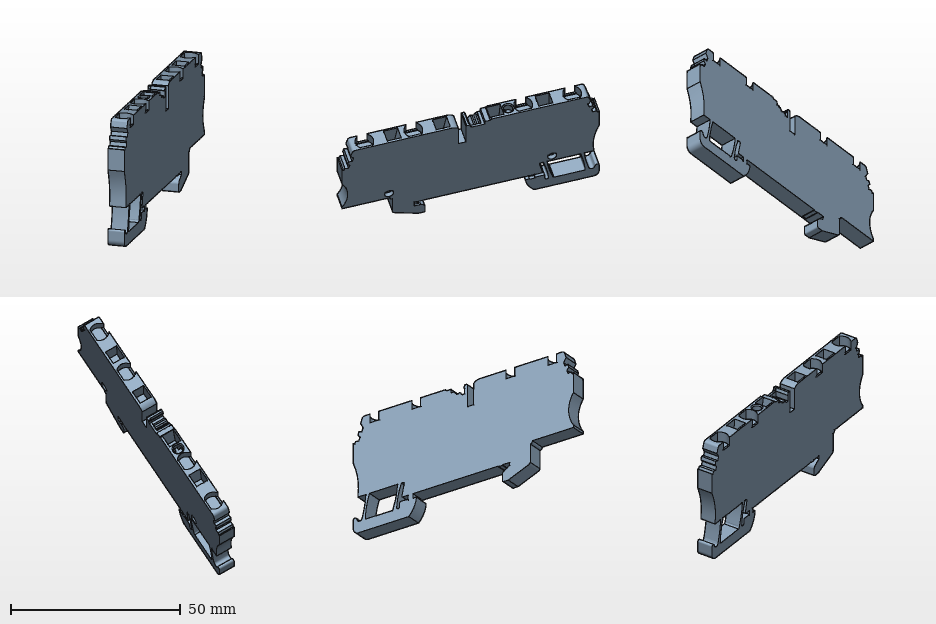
import cadquery as cq
import math

THICKNESS = 5.11
LENGTH = 79.05
HEIGHT = 38.35
HALF_LENGTH = LENGTH / 2
MID_X = THICKNESS / 2

SHOULDER_Z = 30.3
GRIP_TOP_Z = 23.6
UNDERSIDE_Z = 11.96
RAIL_Z = 7.17
FOOT_FLOOR_Z = 3.8
POST_TOP_Z = 37.9
FOOT_TOP_Z = 5.9

END_FACE = 77.4

SKIN = 0.6

TOP_EDGE_OFFSET = 4.1
TOP_CORNER_MIDDLE = (3.44, 38.1)
DRIVER_HOLE_OFFSETS = (7.6, 22.65)
DRIVER_RADIUS = 2.75
DRIVER_WIDTH = 3.95
DRIVER_DEPTH = 3.3
DRIVER_WINDOW = 3.0
DRIVER_SILL = 0.4
WIRE_X0 = 0.75
WIRE_X1 = 4.6
WIRE_DEPTH = 6.0
WIRE_LENGTH = 4.3
WIRE_HOLES = (
    (14.1, 0.15, 1.0),
    (29.15, 0, 1.1),
    (45.65, 1.15, 0.45),
    (60.7, 0.75, 0),
)

SLOT_CORNER_START = 33.7
SLOT_CORNER_Z = 37.4
POST_CHAMFER_WIDTH = 0.3
POST_CHAMFER_HEIGHT = 0.2
STEP_END = 45.5
STEP_RAMP = 0.5
SLOT_START = 35.8
SLOT_END = 38.06
RECESS_START = 39.4
RECESS_END = 44.0
RECESS_FLOOR_Z = 36.7
RECESS_CHAMFER = 0.4
RECESS_SIDE_LEAN = 0.15
GROOVE_X0 = 0.75
GROOVE_START = 39.0
GROOVE_WALL = 39.15
GROOVE_FLOOR_Z = 34.9
GROOVE_VALLEY_Z = 35.6

SCREW_DISTANCE = 51.75
SCREW_MOUTH_RADIUS = 1.75
SCREW_FLOOR_RADIUS = 1.4
SCREW_DEPTH = 2.5
SCREW_SINK = 0.35
SCREW_PAD_GAP = 0.5
SCREW_PAD_HEIGHT = 0.5

PEG_HOLE_DISTANCE = 14.45
PEG_HOLE_Z = 14.05
PEG_HOLE_RADIUS = 1.37
PEG_HOLE_DEPTH = 1.5

HOOK_FACE = 15.5
HOOK_TIP = 25.55
HOOK_BACK = 22.85
HOOK_SKIN_BACK = 22.2
HOOK_FLOOR_Z = 5.4
HOOK_BOTTOM_Z = 1.43

FOOT_START = 56.4
FOOT_CORNER_RADIUS = 1.9
FOOT_SLOT_SIDE = 62.35
FOOT_SLOT_END = 63.45
FOOT_SLOT_ROUND_Z = 4.4
SLOT_LEG_HEEL = (64.7, 4.5)
END_LEG_HEEL = (74.7, 4.2)
END_LEG_TOE = (75.8, 4.7)
PIN_START = 57.6
PIN_END = 59.3
PIN_FLOOR_Z = 5.5
PIN_X0 = 1.0
RAIL_PAD_START = 25.5
RAIL_PAD_END = 27.0
RAIL_PAD_DROP = 0.2


def at(distance, z):
    """Point in the YZ plane, given as a distance from the +Y end and a height."""
    return (HALF_LENGTH - distance, z)


def points(*pairs):
    return [at(distance, z) for distance, z in pairs]


def profile(start):
    return cq.Workplane("YZ").moveTo(*at(*start))


def prism(x0, x1, pairs):
    """Straight-sided outline in the YZ plane, filled from x0 to x1."""
    return cq.Workplane("YZ", origin=(x0, 0, 0)).polyline(points(*pairs)).close().extrude(x1 - x0)


def block(x0, x1, start, end, z0, z1):
    return prism(x0, x1, [(start, z0), (end, z0), (end, z1), (start, z1)])


def comb():
    """Ratchet teeth of one end, from the shoulder up to the rounded top corner, as (distance from end, z)."""
    return [
        (0.0, SHOULDER_Z), (0.45, 30.0), (0.9, 30.75), (1.97, 30.6),
        (2.39, 31.75), (1.67, 32.55), (2.0, 33.65), (3.07, 33.4),
        (3.52, 34.55), (2.63, 36.1), (3.1, 37.5),
    ]


def housing():
    far_comb = [(LENGTH - offset, z) for offset, z in reversed(comb())]
    corner_offset, corner_z = TOP_CORNER_MIDDLE
    outline = (
        profile((0, SHOULDER_Z))
        .polyline(points(*comb()), includeCurrent=False)
        .threePointArc(at(corner_offset, corner_z), at(TOP_EDGE_OFFSET, HEIGHT))
        .lineTo(*at(SLOT_CORNER_START, HEIGHT))
        .threePointArc(at(34.85, 38.08), at(SLOT_START, SLOT_CORNER_Z))
        .lineTo(*at(SLOT_START, SHOULDER_Z))
        .lineTo(*at(SLOT_END, SHOULDER_Z))
        .lineTo(*at(SLOT_END, POST_TOP_Z - POST_CHAMFER_HEIGHT))
        .lineTo(*at(SLOT_END + POST_CHAMFER_WIDTH, POST_TOP_Z))
        .lineTo(*at(RECESS_START, POST_TOP_Z))
        .lineTo(*at(RECESS_START, RECESS_FLOOR_Z + RECESS_CHAMFER))
        .lineTo(*at(RECESS_START + RECESS_CHAMFER, RECESS_FLOOR_Z))
        .lineTo(*at(RECESS_END - RECESS_SIDE_LEAN, RECESS_FLOOR_Z))
        .lineTo(*at(RECESS_END, POST_TOP_Z))
        .lineTo(*at(STEP_END, POST_TOP_Z))
        .lineTo(*at(STEP_END + STEP_RAMP, HEIGHT))
        .lineTo(*at(LENGTH - TOP_EDGE_OFFSET, HEIGHT))
        .threePointArc(at(LENGTH - corner_offset, corner_z), at(*far_comb[0]))
        .polyline(points(*far_comb[1:]), includeCurrent=True)
        .lineTo(*at(LENGTH, GRIP_TOP_Z))
        .threePointArc(at(77.22, 15.5), at(END_FACE, 12.4))
        .lineTo(*at(END_FACE, UNDERSIDE_Z))
        .lineTo(*at(61.1, UNDERSIDE_Z))
        .threePointArc(at(60.85, 11.8), at(60.75, 11.4))
        .lineTo(*at(61.55, 7.6))
        .threePointArc(at(61.5, 7.3), at(61.2, RAIL_Z))
        .lineTo(*at(HOOK_BACK, RAIL_Z))
        .lineTo(*at(HOOK_BACK + 0.15, 6.2))
        .lineTo(*at(24.4, 5.3))
        .threePointArc(at(25.2, 4.75), at(HOOK_TIP, 4.05))
        .lineTo(*at(HOOK_TIP, 2.0))
        .threePointArc(at(25.45, 1.65), at(25.1, HOOK_BOTTOM_Z))
        .lineTo(*at(23.4, HOOK_BOTTOM_Z))
        .lineTo(*at(16.1, 4.35))
        .threePointArc(at(15.7, 4.65), at(HOOK_FACE, 5.0))
        .lineTo(*at(HOOK_FACE, 11.1))
        .threePointArc(at(15.0, 11.3), at(14.7, UNDERSIDE_Z))
        .lineTo(*at(0, UNDERSIDE_Z))
        .lineTo(*at(0, 12.8))
        .threePointArc(at(1.73, 18.4), at(0, GRIP_TOP_Z))
        .close()
    )
    return outline.extrude(THICKNESS)


def foot():
    """Sliding foot under the -Y end."""
    outline = (
        profile((FOOT_START, 5.65))
        .lineTo(*at(PIN_START, 5.7))
        .lineTo(*at(PIN_START, PIN_FLOOR_Z))
        .lineTo(*at(PIN_END, PIN_FLOOR_Z))
        .lineTo(*at(PIN_END + 0.1, FOOT_TOP_Z))
        .lineTo(*at(61.9, FOOT_TOP_Z))
        .threePointArc(at(62.2, 5.8), at(FOOT_SLOT_SIDE, 5.5))
        .lineTo(*at(FOOT_SLOT_SIDE, FOOT_SLOT_ROUND_Z))
        .threePointArc(at(62.9, FOOT_FLOOR_Z), at(FOOT_SLOT_END, FOOT_SLOT_ROUND_Z))
        .lineTo(*at(*SLOT_LEG_HEEL))
        .threePointArc(at(64.82, 4.05), at(65.15, FOOT_FLOOR_Z))
        .lineTo(*at(74.3, FOOT_FLOOR_Z))
        .threePointArc(at(74.6, 3.9), at(*END_LEG_HEEL))
        .lineTo(*at(*END_LEG_TOE))
        .lineTo(*at(76.05, 4.15))
        .threePointArc(at(76.7, 3.75), at(77.55, 4.25))
        .lineTo(*at(77.8, 4.8))
        .threePointArc(at(78.4, 5.3), at(LENGTH, 4.7))
        .lineTo(*at(LENGTH, FOOT_CORNER_RADIUS))
        .radiusArc(at(LENGTH - FOOT_CORNER_RADIUS, 0), -FOOT_CORNER_RADIUS)
        .lineTo(*at(59.1, 0))
        .threePointArc(at(57.4, 2.2), at(FOOT_START, 5.2))
        .close()
    )
    return outline.extrude(THICKNESS)


def leg(inner_edge, outer_edge):
    """Curved spring leg between two edges, each given top, middle and bottom."""
    overlap = 0.5
    inner_top, inner_middle, inner_bottom = inner_edge
    outer_top, outer_middle, outer_bottom = outer_edge
    outline = (
        profile(inner_top)
        .threePointArc(at(*inner_middle), at(*inner_bottom))
        .lineTo(*at(inner_bottom[0], FOOT_FLOOR_Z - overlap))
        .lineTo(*at(outer_bottom[0], FOOT_FLOOR_Z - overlap))
        .lineTo(*at(*outer_bottom))
        .threePointArc(at(*outer_middle), at(*outer_top))
        .lineTo(*at(outer_top[0], UNDERSIDE_Z + overlap))
        .lineTo(*at(inner_top[0], UNDERSIDE_Z + overlap))
        .close()
    )
    return outline.extrude(THICKNESS)


def foot_legs():
    slot_leg = leg(
        [(61.75, UNDERSIDE_Z), (62.75, 8.8), (FOOT_SLOT_END, FOOT_SLOT_ROUND_Z)],
        [(63.1, UNDERSIDE_Z), (63.7, 7.9), SLOT_LEG_HEEL],
    )
    end_leg = leg(
        [(73.2, UNDERSIDE_Z), (74.15, 8.5), END_LEG_HEEL],
        [(74.5, UNDERSIDE_Z), (75.0, 8.2), END_LEG_TOE],
    )
    return slot_leg.union(end_leg)


def foot_pin():
    return block(PIN_X0, THICKNESS, PIN_START, PIN_END, PIN_FLOOR_Z, RAIL_Z)


def rail_pad():
    return block(SKIN, THICKNESS, RAIL_PAD_START, RAIL_PAD_END, RAIL_Z - RAIL_PAD_DROP, RAIL_Z)


def hook_skin_notch():
    """The hook throat is longer in the -X skin than behind it."""
    return prism(0, SKIN, [
        (HOOK_SKIN_BACK, RAIL_Z), (HOOK_SKIN_BACK, HOOK_FLOOR_Z),
        (HOOK_TIP, HOOK_FLOOR_Z), (HOOK_TIP, RAIL_Z),
    ])


def driver_hole(distance):
    """Round hole with flattened sides, open through the +X wall above a low sill."""
    floor_z = HEIGHT - DRIVER_DEPTH
    centre = (MID_X, HALF_LENGTH - distance)
    barrel = cq.Workplane("XY", origin=(0, 0, floor_z)).center(*centre).circle(DRIVER_RADIUS)
    flats = cq.Workplane("XY", origin=(0, 0, floor_z)).center(*centre).rect(DRIVER_WIDTH, LENGTH)
    hole = barrel.extrude(DRIVER_DEPTH).intersect(flats.extrude(DRIVER_DEPTH))
    jamb_x = DRIVER_WIDTH / 2
    jamb_y = math.sqrt(DRIVER_RADIUS**2 - jamb_x**2)
    mouth_y = DRIVER_WINDOW / 2
    window = (
        cq.Workplane("XY", origin=(0, 0, floor_z + DRIVER_SILL))
        .center(*centre)
        .polyline([(jamb_x, -jamb_y), (MID_X, -mouth_y), (MID_X, mouth_y), (jamb_x, jamb_y)])
        .close()
        .extrude(DRIVER_DEPTH - DRIVER_SILL)
    )
    return hole.union(window)


def wire_hole(start, start_slope, end_slope):
    """Rectangular funnel whose ends lean inwards by the given amounts."""
    end = start + WIRE_LENGTH
    floor_z = HEIGHT - WIRE_DEPTH
    return prism(WIRE_X0, WIRE_X1, [
        (start, HEIGHT), (end, HEIGHT), (end - end_slope, floor_z), (start + start_slope, floor_z),
    ])


def wire_holes():
    holes = cq.Workplane("YZ")
    for start, start_slope, end_slope in WIRE_HOLES:
        holes = holes.add(wire_hole(start, start_slope, end_slope))
    return holes.combine()


def marker_groove():
    """Notched groove behind the skin, below the marker recess, with a lip under the post."""
    return prism(GROOVE_X0, THICKNESS, [
        (GROOVE_START, HEIGHT), (GROOVE_START, POST_TOP_Z), (RECESS_START, 37.0),
        (GROOVE_WALL, 36.8), (GROOVE_WALL, GROOVE_FLOOR_Z), (40.0, GROOVE_FLOOR_Z),
        (40.85, 35.9), (41.4, GROOVE_VALLEY_Z), (41.9, GROOVE_VALLEY_Z), (42.4, 36.3), (42.8, 36.5),
        (RECESS_END, POST_TOP_Z), (RECESS_END, HEIGHT),
    ])


def screw_recess():
    """Countersunk round recess with two raised pads on its floor."""
    y = HALF_LENGTH - SCREW_DISTANCE
    floor_z = HEIGHT - SCREW_DEPTH
    recess = (
        cq.Workplane("XY", origin=(MID_X, y, floor_z))
        .circle(SCREW_FLOOR_RADIUS)
        .extrude(SCREW_DEPTH)
    )
    countersink = cq.Solid.makeCone(
        SCREW_FLOOR_RADIUS, SCREW_MOUTH_RADIUS, SCREW_SINK, cq.Vector(MID_X, y, HEIGHT - SCREW_SINK)
    )
    recess = recess.union(cq.Workplane(obj=countersink))
    pad_size = SCREW_MOUTH_RADIUS
    pad_offset = SCREW_PAD_GAP + pad_size / 2
    for side in (-1, 1):
        pad = (
            cq.Workplane("XY", origin=(MID_X + side * pad_offset, y + pad_offset, floor_z))
            .rect(pad_size, pad_size)
            .extrude(SCREW_PAD_HEIGHT)
        )
        recess = recess.cut(pad)
    return recess


def peg_hole(distance):
    return (
        cq.Workplane("YZ")
        .center(*at(distance, PEG_HOLE_Z))
        .circle(PEG_HOLE_RADIUS)
        .extrude(PEG_HOLE_DEPTH)
    )


def both_ends(offset):
    return (offset, LENGTH - offset)


body = housing().union(foot()).union(foot_legs()).union(foot_pin()).union(rail_pad())
body = body.cut(hook_skin_notch()).cut(marker_groove()).cut(wire_holes()).cut(screw_recess())
for hole_offset in DRIVER_HOLE_OFFSETS:
    for hole_distance in both_ends(hole_offset):
        body = body.cut(driver_hole(hole_distance))
for hole_distance in both_ends(PEG_HOLE_DISTANCE):
    body = body.cut(peg_hole(hole_distance))

result = body